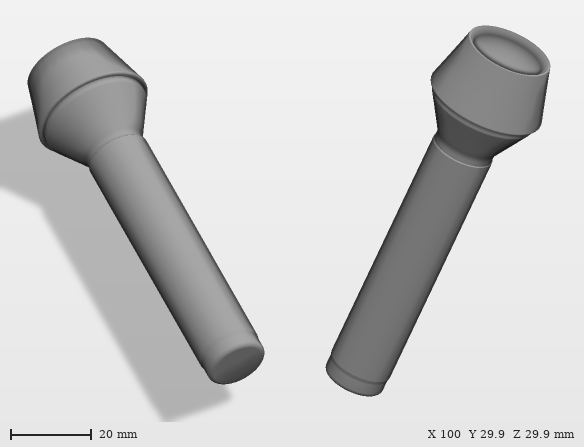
import cadquery as cq
import math

total_length = 100.0

head_length = 15.4
head_max_radius = 29.9 / 2
head_taper = math.radians(15)
head_edge_radius = 0.5
countersink_radius = 10.4
countersink_depth = 1.4
bore_radius = 9.0

collar_radius = 27.5 / 2
shaft_radius = 16.0 / 2
neck_radius = 15.5 / 2
cone_angle = math.radians(30)
collar_edge_radius = 1.0
neck_fillet_radius = 3.0
neck_start = 28.3
shaft_start = 29.9
tip_taper_start = 94.9
tip_taper = math.radians(15)
tip_edge_radius = 1.2


def arc_point(center, radius, angle):
    """Point on a circle, with the angle measured from the +X direction."""
    return (center[0] + radius * math.cos(angle), center[1] + radius * math.sin(angle))


def revolve(profile):
    """Turn a closed half profile (X, radius) about the X axis."""
    return profile.close().revolve(360, (0, 0, 0), (1, 0, 0))


def make_head():
    edge_center = (head_length - head_edge_radius, head_max_radius - head_edge_radius)
    edge_start_angle = math.pi / 2 + head_taper
    edge_start = arc_point(edge_center, head_edge_radius, edge_start_angle)
    edge_middle = arc_point(edge_center, head_edge_radius, edge_start_angle / 2)
    edge_end = arc_point(edge_center, head_edge_radius, 0)
    small_end_radius = edge_start[1] - edge_start[0] * math.tan(head_taper)

    return revolve(
        cq.Workplane("XY")
        .moveTo(countersink_depth, bore_radius)
        .lineTo(0, countersink_radius)
        .lineTo(0, small_end_radius)
        .lineTo(*edge_start)
        .threePointArc(edge_middle, edge_end)
        .lineTo(head_length, bore_radius)
    )


def make_stem():
    fillet_center = (neck_start, neck_radius + neck_fillet_radius)
    fillet_start = arc_point(fillet_center, neck_fillet_radius, -math.pi / 2 - cone_angle)
    fillet_middle = arc_point(fillet_center, neck_fillet_radius, -math.pi / 2 - cone_angle / 2)

    round_drop = collar_edge_radius * (1 - math.cos(cone_angle))
    round_end_radius = collar_radius - round_drop
    cone_length = (round_end_radius - fillet_start[1]) / math.tan(cone_angle)
    round_end_x = fillet_start[0] - cone_length
    round_start_x = round_end_x - collar_edge_radius * math.sin(cone_angle)
    round_center = (round_start_x, collar_radius - collar_edge_radius)
    round_middle = arc_point(round_center, collar_edge_radius, math.pi / 2 - cone_angle / 2)

    step_height = shaft_radius - neck_radius
    tip_start = tip_taper_start + step_height / math.tan(tip_taper)
    tip_center = (total_length - tip_edge_radius, neck_radius - tip_edge_radius)
    tip_middle = arc_point(tip_center, tip_edge_radius, math.pi / 4)
    return revolve(
        cq.Workplane("XY")
        .moveTo(countersink_depth, 0)
        .lineTo(countersink_depth, bore_radius)
        .lineTo(head_length, bore_radius)
        .lineTo(head_length, collar_radius)
        .lineTo(round_start_x, collar_radius)
        .threePointArc(round_middle, (round_end_x, round_end_radius))
        .lineTo(*fillet_start)
        .threePointArc(fillet_middle, (neck_start, neck_radius))
        .lineTo(shaft_start - step_height, neck_radius)
        .lineTo(shaft_start, shaft_radius)
        .lineTo(tip_taper_start, shaft_radius)
        .lineTo(tip_start, neck_radius)
        .lineTo(tip_center[0], neck_radius)
        .threePointArc(tip_middle, (total_length, tip_center[1]))
        .lineTo(total_length, 0)
    )


head = make_head()
stem = make_stem()

result = cq.Compound.makeCompound([head.val(), stem.val()])